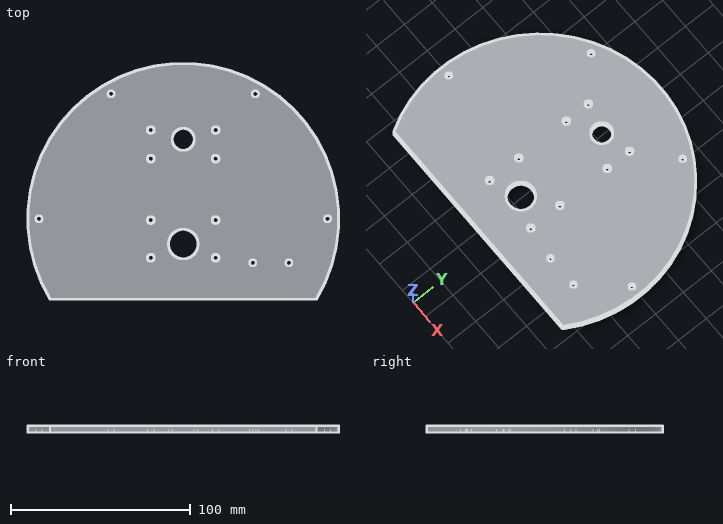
import cadquery as cq
import math

plate_diameter = 172.9
plate_depth = 131.2
thickness = 4.0
plate_radius = plate_diameter / 2
edge_chamfer = 0.3
flat_y = plate_radius - plate_depth

upper_opening_diameter = 12.0
upper_opening_y = 44.0
lower_opening_diameter = 16.0
lower_opening_y = -14.0

mount_diameter = 3.5
mount_half_spacing = 18.0
mount_rows = [49.3, 33.4, -0.7, -21.6]

rim_hole_diameter = 3.5
rim_hole_circle_radius = 80.0
rim_hole_angles = [0, 60, 120, 180]

corner_hole_diameter = 3.5
corner_hole_xs = [38.5, 58.6]
corner_hole_y = -24.4


def make_plate():
    disc = cq.Workplane("XY").circle(plate_radius).extrude(thickness)
    keep_area = (
        cq.Workplane("XY")
        .center(0, flat_y + plate_depth / 2)
        .rect(plate_diameter, plate_depth)
        .extrude(thickness)
    )
    return disc.intersect(keep_area)


def through_holes(points, diameter):
    return cq.Workplane("XY").pushPoints(points).circle(diameter / 2).extrude(thickness)


def rim_point(angle):
    turn = math.radians(angle)
    return (rim_hole_circle_radius * math.cos(turn), rim_hole_circle_radius * math.sin(turn))


mount_points = [(side * mount_half_spacing, y) for y in mount_rows for side in (-1, 1)]
rim_points = [rim_point(angle) for angle in rim_hole_angles]
corner_points = [(x, corner_hole_y) for x in corner_hole_xs]

result = (
    make_plate()
    .cut(through_holes([(0, upper_opening_y)], upper_opening_diameter))
    .cut(through_holes([(0, lower_opening_y)], lower_opening_diameter))
    .cut(through_holes(mount_points, mount_diameter))
    .faces(">Z")
    .edges()
    .chamfer(edge_chamfer)
    .cut(through_holes(rim_points, rim_hole_diameter))
    .cut(through_holes(corner_points, corner_hole_diameter))
)